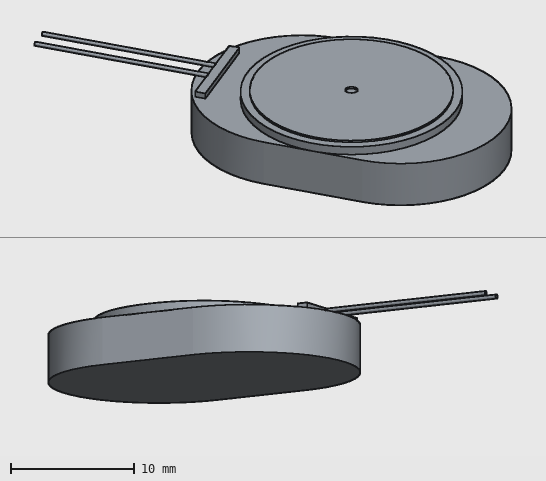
import cadquery as cq

total_length = 40.25
total_height = 4.8

body_length = 26.5
body_width = 18.0
body_height = 3.9

rim_diameter = body_width
disc_diameter = 16.5
disc_height = 0.15
hole_diameter = 1.0
hole_depth = disc_height

bar_inset = 1.2
bar_width = 0.9
bar_length = 7.97
bar_height = 0.5
wire_diameter = 0.36
wire_spacing = 1.75

body_left = -body_length / 2
wire_tip_x = body_length / 2 - total_length
bar_left = body_left + bar_inset
rim_height = total_height - disc_height - body_height
wire_z = body_height + bar_height - wire_diameter / 2
wire_length = bar_left + bar_width / 2 - wire_tip_x


def make_body():
    return cq.Workplane("XY").slot2D(body_length, body_width).extrude(body_height)


def make_cap():
    """Rim and raised disc with a shallow blind hole in the middle."""
    return (
        cq.Workplane("XY")
        .workplane(offset=body_height)
        .circle(rim_diameter / 2)
        .extrude(rim_height)
        .faces(">Z")
        .workplane()
        .circle(disc_diameter / 2)
        .extrude(disc_height)
        .faces(">Z")
        .workplane()
        .hole(hole_diameter, hole_depth)
    )


def make_bar():
    return (
        cq.Workplane("XY")
        .box(bar_width, bar_length, bar_height, centered=(False, True, False))
        .translate((bar_left, 0, body_height))
    )


def make_wire(y):
    return (
        cq.Workplane("YZ", origin=(wire_tip_x, y, wire_z))
        .circle(wire_diameter / 2)
        .extrude(wire_length)
    )


result = make_body().union(make_cap()).union(make_bar())
for side in (-1, 1):
    result = result.union(make_wire(side * wire_spacing / 2))